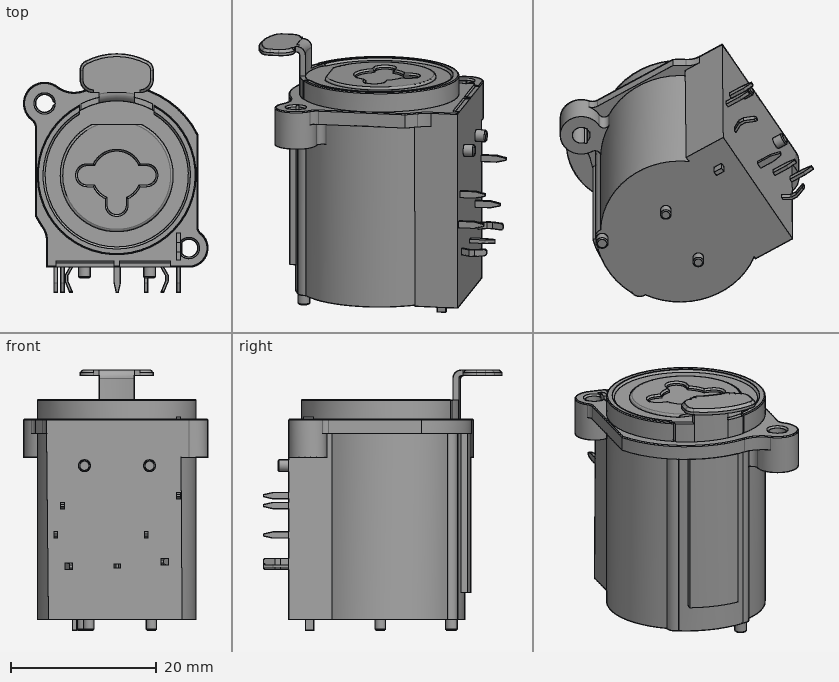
import cadquery as cq
import math

top_z = 6.75
bottom_z = -28.95
overlap = 0.35

housing_radius = 10.9
housing_bottom = -27.48
front_y = -12.6
block_back_y = -6.65
block_right_top_x = 8.78
block_bottom_x = (-9.35, 8.95)
latch_half_width = 5.9
latch_back_y = 10.53
latch_corner_radius = 1.25
latch_bulge_radius = 11.55
ridge_half_width = 3.45
ridge_radius = 12.4
ridge_bottom = -23.77

flange_radius = 12.45
flange_half_width = 11.15
flange_thickness = 2.0
flange_chamfer = 0.15
corner_x = -9.65
corner_blend_radius = 3.07
ear_depth = 5.25
left_ear = (-9.9, 9.85)
left_ear_radius = 2.9
right_ear_radius = 2.623
right_ear = (9.9, front_y + right_ear_radius)
rim_blend_radius = 3.8
left_side_blend_radius = 1.35
right_side_blend_radius = 1.07
neck_blend_radius = 0.8
hole_radius = 1.2
hole_chamfer = 0.25
notch_radius = 0.2

ring_top = 2.7
ring_chamfer = 0.15
dish_radius = 10.1
dish_depth = 0.35
dish_chamfer = 0.3
insert_radius = 7.75
insert_flat_y = 6.95
insert_round = 0.34
jack_radius = 3.32
lobe_radius = 1.32
lobe_offset = 4.07
jack_depth = 0.5
jack_chamfer = 0.25

shell_inner_radius = 10.2
shell_outer_radius = 10.95
shell_half_width = 4.9
shell_top = 2.6
shell_gap = 0.2
stem_half_width = 2.43
tab_thickness = 0.8
bend_inner_radius = 0.4
tab_front_y = 11.3
tab_back_y = 16.65
tab_half_width = 5.05
tab_back_radius = 9.28
tab_front_corner_radius = 1.85
tab_back_corner_radius = 1.43
tab_chamfer = 0.4

board_peg_radius = 0.82
board_peg_x = (-4.43, 4.5)
board_peg_z = -6.4
board_peg_length = 1.45
peg_chamfer = 0.18
base_posts = [(-4.6, 9.7, 0.82), (-3.835, -0.05, 0.73), (4.75, -0.05, 0.73)]
key_blade_x = (-6.05, -5.45)
key_blade_y = (-10.3, -9.15)
pin_tip_y = -16.05
pin_taper_y = -14.75
pin_width = 0.9
pin_tip_width = 0.3
pin_thickness = 0.5
upright_pins = [(-7.42, -11.85), (8.475, -10.5), (-8.35, -15.88), (4.05, -15.88)]
level_pin = (0.07, -20.13)
bent_pins = [(-1, -20.2), (1, -19.52)]
bent_pin_thickness = 0.4
bent_pin_tip_chamfer = 0.2
bent_pin_root_x = 6.25
bent_pin_knee_x = 6.9
bent_pin_knee_y = (-13.75, -14.5)

edge_recess_x = [(-8.3, -0.4), (0.4, 7.35)]
edge_recess_back_y = -11.75
edge_recess_depth = 0.15
edge_recess_slope = 0.25
contact_x = (8.17, 8.75)
contact_slot_y = (-11.65, -7.92)
contact_tongue_y = (-10.53, -9.2)
contact_height = 0.32


def box(x_range, y_range, z_range):
    """Block between the given limits along each axis."""
    size = [high - low for low, high in (x_range, y_range, z_range)]
    corner = (x_range[0], y_range[0], z_range[0])
    return cq.Workplane("XY").box(*size, centered=False).translate(corner)


def cylinder(centre, radius, z_range):
    """Upright cylinder between two heights."""
    low, high = z_range
    return cq.Workplane("XY", origin=(*centre, low)).circle(radius).extrude(high - low)


def blend(points, centre, radius, z_range):
    """Plan-view patch between two edges, hollowed by the concave blend circle."""
    low, high = z_range
    patch = cq.Workplane("XY", origin=(0, 0, low)).polyline(points).close().extrude(high - low)
    return patch.cut(cylinder(centre, radius, z_range))


def round_blend_centre(ear, ear_radius, round_radius, radius, side):
    """Centre of a circle touching an ear and a round edge about the socket axis."""
    distance = math.hypot(*ear)
    to_axis = round_radius + radius
    to_ear = ear_radius + radius
    cosine = (to_axis**2 + distance**2 - to_ear**2) / (2 * to_axis * distance)
    angle = math.atan2(ear[1], ear[0]) + side * math.acos(cosine)
    return to_axis * math.cos(angle), to_axis * math.sin(angle)


def side_blend(ear, ear_radius, radius, z_range):
    """Blend between an ear and the flat flange side next to it."""
    side = math.copysign(1, ear[0])
    x = side * (flange_half_width + radius)
    reach = math.sqrt((ear_radius + radius)**2 - (x - ear[0])**2)
    y = ear[1] - math.copysign(reach, ear[1])
    inner_x = side * (flange_half_width - ear_radius)
    side_x = side * flange_half_width
    points = [ear, (x, y), (side_x, y), (side_x, 0), (inner_x, 0)]
    return blend(points, (x, y), radius, z_range)


def corner_blend_centre():
    """Centre of the concave blend between the round flange edge and its front left side."""
    x = corner_x - corner_blend_radius
    return x, -math.sqrt((flange_radius + corner_blend_radius)**2 - x**2)


def corner_blend(z_range):
    """Blend from the round flange edge to its narrower front left side."""
    centre = corner_blend_centre()
    return blend([centre, (0, centre[1]), (0, 0)], centre, corner_blend_radius, z_range)


def make_flange():
    span = (-flange_thickness, 0)
    sides = (-flange_half_width, flange_half_width)
    flange = cylinder((0, 0), flange_radius, span)
    flange = flange.intersect(box(sides, (-flange_radius, flange_radius), span))
    flange = flange.union(box((corner_x, right_ear[0]), (front_y, block_back_y), span))
    flange = flange.union(corner_blend(span))
    rim = round_blend_centre(left_ear, left_ear_radius, flange_radius, rim_blend_radius, -1)
    flange = flange.union(blend([left_ear, rim, (0, 0)], rim, rim_blend_radius, span))
    ears = [
        (left_ear, left_ear_radius, left_side_blend_radius),
        (right_ear, right_ear_radius, right_side_blend_radius),
    ]
    for ear, radius, blend_radius in ears:
        flange = flange.union(cylinder(ear, radius, span))
        flange = flange.union(side_blend(ear, radius, blend_radius, span))
    flange = flange.clean().faces(">Z").chamfer(flange_chamfer)
    for ear, radius, _ in ears:
        flange = flange.union(cylinder(ear, radius, (-ear_depth, -overlap)))
    ear_root = box((block_right_top_x, right_ear[0]), (front_y, right_ear[1]), (-ear_depth, -overlap))
    flange = flange.union(ear_root)
    inset = (block_bottom_x[0] - corner_x) * flange_thickness / -housing_bottom
    slope = cq.Workplane("XZ", origin=(0, front_y, 0)).polyline([
        (corner_x, 0),
        (corner_x + inset, -flange_thickness),
        (corner_x, -flange_thickness),
    ])
    blend_end_y = corner_blend_centre()[1]
    return flange.cut(slope.close().extrude(front_y - blend_end_y))


def make_left_neck():
    """Web that ties the left ear to the round housing below the flange."""
    span = (-ear_depth, -overlap)
    halves = []
    for side in (-1, 1):
        centre = round_blend_centre(left_ear, left_ear_radius, housing_radius, neck_blend_radius, side)
        halves.append(blend([left_ear, centre, (0, 0)], centre, neck_blend_radius, span))
    return halves[0].union(halves[1])


def round_back(radius, half_width, z_range):
    """Back half of a cylinder about the socket axis, cut to a given width."""
    limits = box((-half_width, half_width), (0, radius), z_range)
    return cylinder((0, 0), radius, z_range).intersect(limits)


def make_housing():
    span = (housing_bottom, -overlap)
    housing = cylinder((0, 0), housing_radius, span)
    block_sides = (corner_x, block_bottom_x[1])
    block_depth = (front_y, block_back_y)
    block_side = [
        (corner_x, 0),
        (block_right_top_x, 0),
        (block_bottom_x[1], housing_bottom),
        (block_bottom_x[0], housing_bottom),
    ]
    block = cq.Workplane("XZ", origin=(0, front_y, 0)).polyline(block_side).close()
    block = block.extrude(front_y - block_back_y).intersect(box(block_sides, block_depth, span))
    housing = housing.union(block)
    latch = box((-latch_half_width, latch_half_width), (0, latch_back_y), span)
    housing = housing.union(latch.edges("|Z and >Y").fillet(latch_corner_radius))
    bulge_half_width = latch_half_width - latch_corner_radius
    housing = housing.union(round_back(latch_bulge_radius, bulge_half_width, span))
    return housing.union(round_back(ridge_radius, ridge_half_width, (ridge_bottom, -overlap)))


def make_ring():
    floor = ring_top - dish_depth
    ring = cylinder((0, 0), housing_radius, (-overlap, ring_top)).faces(">Z").chamfer(ring_chamfer)
    dish = cylinder((0, 0), dish_radius, (floor, ring_top)).faces("<Z").chamfer(dish_chamfer)
    ring = ring.cut(dish)
    insert = cylinder((0, 0), insert_radius, (floor, ring_top)).faces(">Z").edges().fillet(insert_round)
    keep = (-insert_radius, insert_radius)
    insert = insert.intersect(box(keep, (-insert_radius, insert_flat_y), (floor, ring_top)))
    return ring.union(insert)


def make_jack_outline(low, high, taper=0):
    """Round jack hole with three contact lobes; a negative taper flares it upwards."""
    plane = cq.Workplane("XY", origin=(0, 0, low))
    outline = plane.circle(jack_radius).extrude(high - low, taper=taper)
    for angle in (0, 180, 270):
        slot_length = lobe_offset + 2 * lobe_radius
        slot = plane.center(lobe_offset / 2, 0).slot2D(slot_length, 2 * lobe_radius)
        lobe = slot.extrude(high - low, taper=taper)
        outline = outline.union(lobe.rotate((0, 0, 0), (0, 0, 1), angle))
    return outline


def make_jack_opening():
    """Shallow recess in the insert with a bevelled mouth."""
    mouth_z = ring_top - jack_chamfer
    opening = make_jack_outline(ring_top - jack_depth, ring_top)
    return opening.union(make_jack_outline(mouth_z, ring_top, -45))


def make_button_shell():
    """Curved wall of the button, standing in the gap of the ring."""
    span = (-overlap, shell_top)
    shell = round_back(shell_outer_radius, shell_half_width, span)
    return shell.cut(cylinder((0, 0), shell_inner_radius, span))


def make_button_gap():
    """Opening in the ring for the button wall, clear at both ends and open to the dish."""
    half = shell_half_width + shell_gap
    gap = box((-half, half), (0, housing_radius + overlap), (0, ring_top))
    gap = gap.cut(cylinder((0, 0), shell_inner_radius, (0, ring_top - dish_depth)))
    return gap.cut(cylinder((0, 0), dish_radius - dish_chamfer, (0, ring_top)))


def make_stem():
    """Strip rising from the button wall and bending back into the tab."""
    inner = shell_inner_radius
    outer = inner + tab_thickness
    bend_outer = bend_inner_radius + tab_thickness
    bend_z = top_z - bend_outer
    bend_start = outer + bend_inner_radius
    end_r = tab_front_y + tab_thickness
    slant = math.sqrt(0.5)
    profile = (
        cq.Workplane("XZ")
        .moveTo(inner, 0)
        .lineTo(inner, bend_z)
        .threePointArc((bend_start - bend_outer * slant, bend_z + bend_outer * slant), (bend_start, top_z))
        .lineTo(end_r, top_z)
        .lineTo(end_r, top_z - tab_thickness)
        .lineTo(bend_start, top_z - tab_thickness)
        .threePointArc(
            (bend_start - bend_inner_radius * slant, bend_z + bend_inner_radius * slant),
            (outer, bend_z),
        )
        .lineTo(outer, 0)
        .close()
    )
    strip = (-stem_half_width, stem_half_width)
    return profile.revolve(360, (0, 0), (0, 1)).intersect(box(strip, (0, end_r), (0, top_z)))


def make_tab():
    """Rounded push tab with a bevelled rim, left square along its straight front edge."""
    span = (top_z - tab_thickness, top_z)
    tab = box((-tab_half_width, tab_half_width), (tab_front_y, tab_back_y), span)
    tab = tab.intersect(cylinder((0, tab_back_y - tab_back_radius), tab_back_radius, span))
    tab = tab.edges("|Z and <Y").fillet(tab_front_corner_radius)
    tab = tab.edges("|Z").edges(">Y").fillet(tab_back_corner_radius)
    tab = tab.faces(">Z").chamfer(tab_chamfer)
    straight = tab_half_width - tab_front_corner_radius
    return tab.union(box((-straight, straight), (tab_front_y, tab_front_y + tab_chamfer), span))


def make_ear_hole(ear):
    hole = cylinder(ear, hole_radius, (-ear_depth, 0))
    mouth = cq.Workplane("XY", origin=(*ear, 0)).circle(hole_radius + hole_chamfer)
    return hole.union(mouth.workplane(offset=-hole_chamfer).circle(hole_radius).loft())


def make_edge_recess(left, right):
    """Shallow step along the front edge of the flange, with a sloping back wall."""
    side = [
        (front_y, 0),
        (edge_recess_back_y, 0),
        (edge_recess_back_y - edge_recess_slope, -edge_recess_depth),
        (front_y, -edge_recess_depth),
    ]
    return cq.Workplane("YZ", origin=(left, 0, 0)).polyline(side).close().extrude(right - left)


def make_board_peg(x):
    peg = cq.Workplane("XZ", origin=(x, front_y + overlap, board_peg_z)).circle(board_peg_radius)
    return peg.extrude(board_peg_length + overlap).faces("<Y").chamfer(peg_chamfer)


def make_straight_pin():
    """Tapered flat pin on the Y axis, wide along X and centred at x = z = 0."""
    wide = pin_width / 2
    tip = pin_tip_width / 2
    outline = [
        (-wide, front_y + overlap),
        (-wide, pin_taper_y),
        (-tip, pin_tip_y),
        (tip, pin_tip_y),
        (wide, pin_taper_y),
        (wide, front_y + overlap),
    ]
    pin = cq.Workplane("XY").polyline(outline).close()
    return pin.extrude(pin_thickness / 2, both=True)


def make_bent_pin(side, z):
    """Flat pin that bows outwards between its root and its tip."""
    centre_line = [
        (bent_pin_root_x, front_y + overlap),
        (bent_pin_root_x, front_y),
        (bent_pin_knee_x, bent_pin_knee_y[0]),
        (bent_pin_knee_x, bent_pin_knee_y[1]),
        (bent_pin_root_x, pin_tip_y),
    ]
    half = bent_pin_thickness / 2
    outline = [(side * (x - half), y) for x, y in centre_line]
    outline += [(side * (x + half), y) for x, y in reversed(centre_line)]
    pin = cq.Workplane("XY", origin=(0, 0, z)).polyline(outline).close()
    pin = pin.extrude(pin_width / 2, both=True)
    return pin.faces("<Y").edges("|X").chamfer(bent_pin_tip_chamfer)


result = make_housing().union(make_flange()).union(make_left_neck())
result = result.union(make_ring().cut(make_button_gap())).cut(make_jack_opening())

for ear in (left_ear, right_ear):
    result = result.cut(make_ear_hole(ear))
notch_centre = (left_ear[0] + hole_radius, left_ear[1])
result = result.cut(cylinder(notch_centre, notch_radius, (-ear_depth, 0)))

for x_range in edge_recess_x:
    result = result.cut(make_edge_recess(*x_range))
result = result.cut(box(contact_x, contact_slot_y, (-contact_height, 0)))
result = result.union(box(contact_x, contact_tongue_y, (-ear_depth, contact_height)))

result = result.union(make_button_shell()).union(make_stem()).union(make_tab())

for x in board_peg_x:
    result = result.union(make_board_peg(x))
for x, y, radius in base_posts:
    post = cylinder((x, y), radius, (bottom_z, housing_bottom + overlap))
    result = result.union(post.faces("<Z").chamfer(peg_chamfer))
result = result.union(box(key_blade_x, key_blade_y, (bottom_z, housing_bottom + overlap)))

straight_pin = make_straight_pin()
for x, z in upright_pins:
    result = result.union(straight_pin.rotate((0, 0, 0), (0, 1, 0), 90).translate((x, 0, z)))
result = result.union(straight_pin.translate((level_pin[0], 0, level_pin[1])))
for side, z in bent_pins:
    result = result.union(make_bent_pin(side, z))